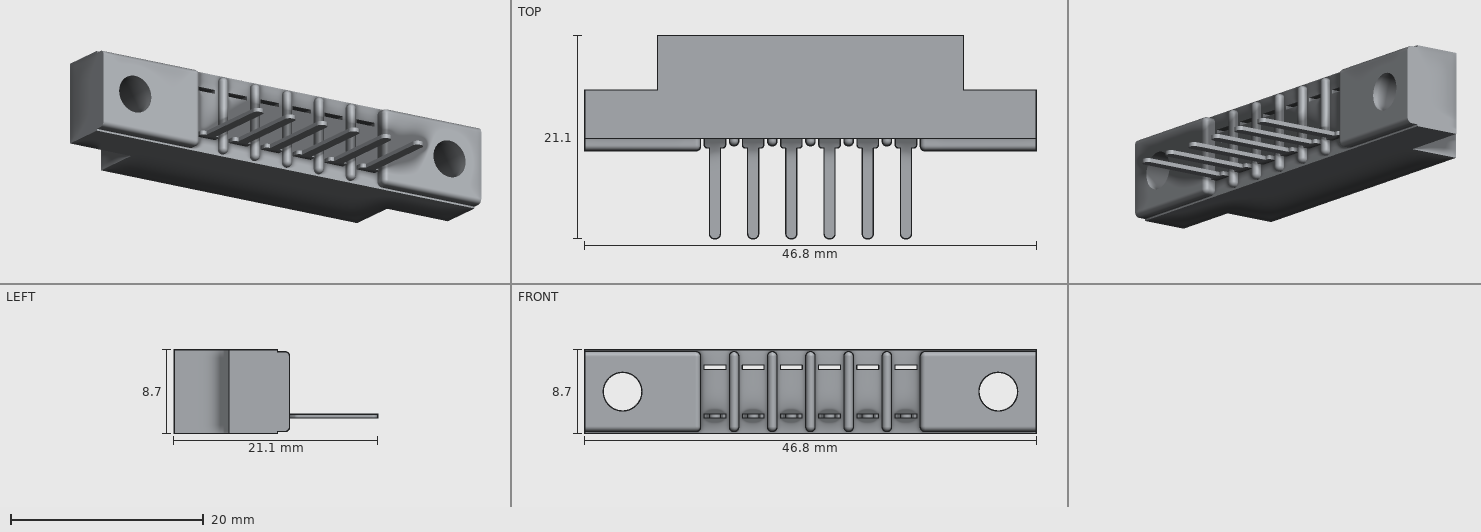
import cadquery as cq

length = 46.8
height = 8.7
centre_length = 31.72
ear_back = 5.65
wall_depth = 10.7
front_depth = 12.0

block_inner_x = 11.35
block_radius = 0.5
raised_inset = 0.2
raised_height = height - 2 * raised_inset

hole_diameter = 4.0
hole_x = 19.45

contacts_per_row = 6
row_length = 19.8
pitch = row_length / (contacts_per_row - 1)
row_offset = 2.55

rib_width = 1.0
rib_rise = 0.75
rib_flat = 0.01
rib_radius = (rib_width - rib_flat) / 2

head_width = 2.25
thickness = 0.4
head_rise = 1.0
head_radius = 0.37
tail_width = 1.15
tail_radius = 0.55
total_depth = 21.1

contact_xs = [i * pitch - row_length / 2 for i in range(contacts_per_row)]
rib_xs = [x + pitch / 2 for x in contact_xs[:-1]]


def make_core():
    """T-shaped body: full-length ears with a deeper middle stretch behind them."""
    ears = cq.Workplane("XY").box(length, wall_depth - ear_back, height, centered=(True, False, True))
    middle = cq.Workplane("XY").box(centre_length, wall_depth, height, centered=(True, False, True))
    return ears.translate((0, -wall_depth, 0)).union(middle.translate((0, -wall_depth, 0)))


def make_right_block():
    """End block on the wall, rounded on every free edge but those of its outer end."""
    block = cq.Workplane("XY").box(
        length / 2 - block_inner_x, front_depth - wall_depth, raised_height, centered=(False, False, True)
    )
    block = block.edges("(not >Y) and (not >X)").fillet(block_radius)
    return block.translate((block_inner_x, -front_depth, 0))


def make_rib(x):
    """Upright rib on the wall, rounded on every edge except where it meets the wall."""
    rib = cq.Workplane("XY").box(rib_width, rib_rise, raised_height, centered=(True, False, True))
    rib = rib.edges("not >Y").fillet(rib_radius)
    return rib.translate((x, -wall_depth - rib_rise, 0))


def make_slot(x, z):
    """Contact slot through the full depth of the housing."""
    slot = cq.Workplane("XY").box(head_width, wall_depth, thickness, centered=(True, False, True))
    return slot.translate((x, -wall_depth, z))


def make_housing():
    """Core with end blocks and ribs, pierced by two rows of slots and two mounting holes."""
    right_block = make_right_block()
    body = make_core().union(right_block).union(right_block.mirror("YZ"))
    for x in rib_xs:
        body = body.union(make_rib(x))
    for x in contact_xs:
        body = body.cut(make_slot(x, row_offset))
        body = body.cut(make_slot(x, -row_offset))
    holes = (
        cq.Workplane("XZ")
        .pushPoints([(-hole_x, 0), (hole_x, 0)])
        .circle(hole_diameter / 2)
        .extrude(front_depth)
    )
    return body.cut(holes).solids().val()


def make_pin(x):
    """Flat pin: wide head through the housing and a narrow round-tipped tail."""
    head_length = wall_depth + head_rise
    head = cq.Workplane("XY").box(head_width, head_length, thickness, centered=(True, False, True))
    head = head.edges("|Z and <Y").fillet(head_radius).translate((0, -head_length, 0))
    tail = cq.Workplane("XY").box(tail_width, total_depth, thickness, centered=(True, False, True))
    tail = tail.edges("|Z and <Y").fillet(tail_radius).translate((0, -total_depth, 0))
    return head.union(tail).translate((x, 0, -row_offset)).solids().val()


housing = make_housing()
pins = [make_pin(x) for x in contact_xs]

result = cq.Compound.makeCompound([housing, *pins])